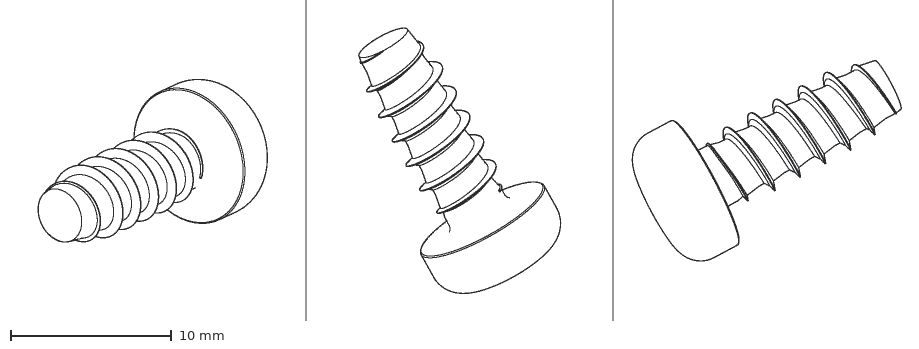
import cadquery as cq
import math


PITCH = 1.8

HEAD_RADIUS = 4.4
HEAD_HEIGHT = 3.5
CROWN_RADIUS = HEAD_HEIGHT / 2
RIM_CHAMFER = 0.08

SHANK_LENGTH = 12.99
NECK_RADIUS = 1.975
NECK_FILLET = 0.7
NECK_LENGTH = 1.25
CORE_RADIUS = 1.79
NECK_CONE_LENGTH = 0.7

TIP_RADIUS = 1.73
DIMPLE_RADIUS = 1.64
DIMPLE_DEPTH = 0.2

END_CLEARANCE = 2 * PITCH

CREST_RADIUS = 2.5
CREST_START_Y = -4.43
FIRST_TURN = -2.05
FLAT_START_TURN = -1.78
FULL_FIRST_TURN = -0.75
FULL_LAST_TURN = 3.25
LAST_TURN = 4.75
FADE_IN_PER_TURN = 0.336
FADE_OUT_PER_TURN = 0.51
STEPS_PER_SPAN = 16

CREST_HALF_WIDTH = 0.025
BREAK_DEPTH = 0.39
BREAK_RISE = 0.145
UPPER_ROOT_DEPTH = 0.78
UPPER_ROOT_RISE = 0.43
RIDGE_DEPTH = 0.95
LOWER_FLANK_SLOPE = 0.32

SAW_TOP_RADIUS = 1.965
SAW_SLOPE = 0.165
SAW_LENGTH = 1.3
SAW_INNER_RADIUS = 1.4


def revolve_about_axis(profile):
    return profile.close().revolve(360, (0, 0, 0), (0, 1, 0))


def make_head():
    crown_start = HEAD_RADIUS - CROWN_RADIUS
    diagonal = CROWN_RADIUS * math.sqrt(0.5)
    crown_base = HEAD_HEIGHT - CROWN_RADIUS
    return revolve_about_axis(
        cq.Workplane("XY")
        .lineTo(HEAD_RADIUS - RIM_CHAMFER, 0)
        .lineTo(HEAD_RADIUS, RIM_CHAMFER)
        .lineTo(HEAD_RADIUS, crown_base)
        .threePointArc((crown_start + diagonal, crown_base + diagonal), (crown_start, HEAD_HEIGHT))
        .lineTo(0, HEAD_HEIGHT)
    )


def make_shank():
    """Neck with its fillet into the head, a cone below it and the cylindrical core."""
    fillet_outer = NECK_RADIUS + NECK_FILLET
    fillet_inset = NECK_FILLET * math.sqrt(0.5)
    fillet_middle = (fillet_outer - fillet_inset, fillet_inset - NECK_FILLET)
    return revolve_about_axis(
        cq.Workplane("XY")
        .lineTo(fillet_outer, 0)
        .threePointArc(fillet_middle, (NECK_RADIUS, -NECK_FILLET))
        .lineTo(NECK_RADIUS, -NECK_LENGTH)
        .lineTo(CORE_RADIUS, -NECK_LENGTH - NECK_CONE_LENGTH)
        .lineTo(CORE_RADIUS, -SHANK_LENGTH)
        .lineTo(0, -SHANK_LENGTH)
    )


def helix_y(turn):
    return CREST_START_Y - PITCH * turn


def ridge_y(turn):
    """The ridge follows the helix and levels out just below the neck."""
    return helix_y(max(turn, FLAT_START_TURN))


def ridge_radius(turn):
    """The crest sinks evenly into the core at both ends of the thread."""
    fade_in = FADE_IN_PER_TURN * max(0, FULL_FIRST_TURN - turn)
    fade_out = FADE_OUT_PER_TURN * max(0, turn - FULL_LAST_TURN)
    return CREST_RADIUS - fade_in - fade_out


def helical_solid(section, first_turn, last_turn):
    """Solid swept by a polygon; section(turn) lists its (radius, y) corners.

    The sweep is built in spans of at most one turn.
    """

    def corners(turn):
        angle = 2 * math.pi * turn
        return [cq.Vector(r * math.cos(angle), y, r * math.sin(angle)) for r, y in section(turn)]

    def end_cap(turn):
        return cq.Face.makeFromWires(cq.Wire.makePolygon(corners(turn), close=True))

    faces = [end_cap(first_turn), end_cap(last_turn)]
    spans = math.ceil(last_turn - first_turn)
    span_turns = (last_turn - first_turn) / spans
    for span in range(spans):
        start = first_turn + span * span_turns
        turns = [start + span_turns * i / STEPS_PER_SPAN for i in range(STEPS_PER_SPAN + 1)]
        tracks = [cq.Edge.makeSpline(points) for points in map(list, zip(*map(corners, turns)))]
        for i, track in enumerate(tracks):
            faces.append(cq.Face.makeRuledSurface(tracks[i - 1], track))
    return cq.Workplane(cq.Solid.makeSolid(cq.Shell.makeShell(faces)).fix())


def ridge_section(turn):
    crest = ridge_radius(turn)
    y = ridge_y(turn)
    return [
        (crest, y - CREST_HALF_WIDTH),
        (crest, y + CREST_HALF_WIDTH),
        (crest - BREAK_DEPTH, y + BREAK_RISE),
        (crest - UPPER_ROOT_DEPTH, y + UPPER_ROOT_RISE),
        (crest - RIDGE_DEPTH, y + UPPER_ROOT_RISE),
        (crest - RIDGE_DEPTH, y - CREST_HALF_WIDTH - LOWER_FLANK_SLOPE * RIDGE_DEPTH),
    ]


def saw_section(turn):
    y = helix_y(turn)
    return [
        (SAW_TOP_RADIUS, y),
        (SAW_TOP_RADIUS - SAW_SLOPE * SAW_LENGTH, y - SAW_LENGTH),
        (SAW_INNER_RADIUS, y - SAW_LENGTH),
        (SAW_INNER_RADIUS, y),
    ]


def make_taper_cutter():
    """Ring that tapers the tip of the core at the slope of the sawtooth cones."""
    taper_length = (NECK_RADIUS - TIP_RADIUS) / SAW_SLOPE
    return revolve_about_axis(
        cq.Workplane("XY")
        .moveTo(NECK_RADIUS, taper_length - SHANK_LENGTH)
        .lineTo(TIP_RADIUS, -SHANK_LENGTH)
        .lineTo(TIP_RADIUS, -SHANK_LENGTH - END_CLEARANCE)
        .lineTo(NECK_RADIUS, -SHANK_LENGTH - END_CLEARANCE)
    )


def make_end_cutter():
    """Everything beyond the end face, with a shallow cone that dimples it."""
    return revolve_about_axis(
        cq.Workplane("XY")
        .moveTo(0, DIMPLE_DEPTH - SHANK_LENGTH)
        .lineTo(DIMPLE_RADIUS, -SHANK_LENGTH)
        .lineTo(NECK_RADIUS, -SHANK_LENGTH)
        .lineTo(NECK_RADIUS, -SHANK_LENGTH - END_CLEARANCE)
        .lineTo(0, -SHANK_LENGTH - END_CLEARANCE)
    )


saw = helical_solid(saw_section, FIRST_TURN, LAST_TURN)
ridge = helical_solid(ridge_section, FIRST_TURN, LAST_TURN)
core = make_shank().union(saw, clean=False).cut(make_taper_cutter())
result = core.union(ridge, clean=False).union(make_head()).cut(make_end_cutter())